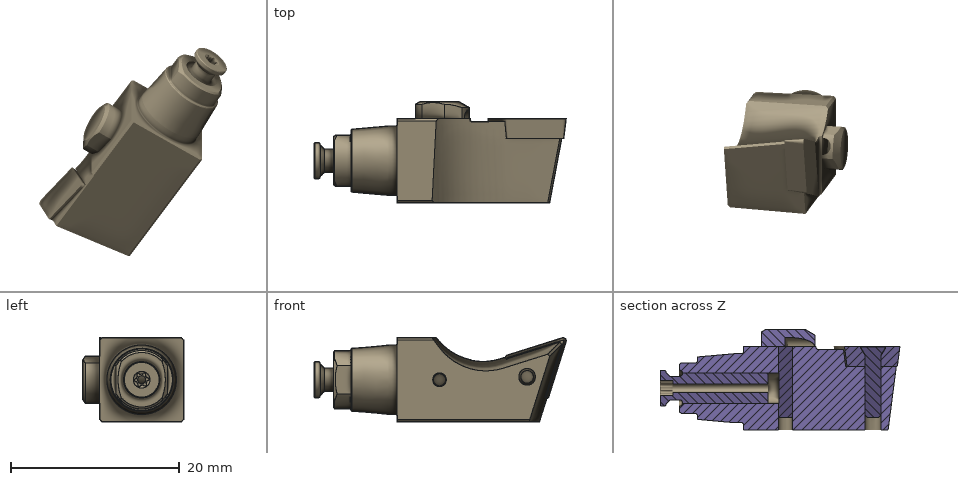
import cadquery as cq
import math


BLOCK_SIZE = 10.0
HALF = BLOCK_SIZE / 2
EDGE_CHAMFER = 0.3
RAKE_Y = HALF
STOCK_LENGTH = 22.42
REACH = 23.92
SELECT_MARGIN = 0.03

CLEARANCE = 7.0
POINT_ANGLE = 55.0
INSCRIBED = 6.35
INSERT_THICKNESS = 2.35
POCKET_GAP = 0.12
NOSE_RADIUS = 0.4
TIP_X = 20.05
TIP_Z = HALF
HALF_POINT = math.radians(POINT_ANGLE / 2)
LONG_HALF = INSCRIBED / 2 / math.sin(HALF_POINT)
SHORT_HALF = INSCRIBED / 2 / math.cos(HALF_POINT)
DIAGONAL_ANGLE = 45.0
NOSE_OFFSET = (LONG_HALF - NOSE_RADIUS / math.sin(HALF_POINT)) * math.cos(math.radians(DIAGONAL_ANGLE))
INSERT_X = TIP_X - NOSE_RADIUS - NOSE_OFFSET
INSERT_Z = TIP_Z - NOSE_RADIUS - NOSE_OFFSET

INSERT_OVERHANG = 0.12
FLANK_DISTANCE = INSCRIBED / 2 - INSERT_OVERHANG
SLOPE_ANGLE = DIAGONAL_ANGLE - POINT_ANGLE / 2
NOSE_FLAT_DEPTH = 0.33
NOSE_FLAT_DISTANCE = FLANK_DISTANCE / math.sin(HALF_POINT) - NOSE_FLAT_DEPTH
NOSE_FLAT_TILT = math.degrees(math.atan(math.tan(math.radians(CLEARANCE)) / math.sin(HALF_POINT)))
GULLET_RADIUS = 6.88
GULLET_SWEEP = 70.5
GULLET_START = -2.4
RELIEF_X = 8.67
RELIEF_DEPTH = 0.35
RELIEF_ROUND = 0.18

SHANK_FILLET = 0.15
TAPER_END_X = -1.0
TAPER_BASE_RADIUS = 4.13
TAPER_FRONT_X = -5.47
TAPER_FRONT_RADIUS = 3.75
TAPER_FRONT_CHAMFER = 0.1
SPIGOT_FRONT_X = -7.55
SPIGOT_RADIUS = 3.47
SPIGOT_CHAMFER_LENGTH = 0.15
SPIGOT_CHAMFER_DEPTH = 0.25
SPIGOT_ACROSS_FLATS = 6.07
FLAT_BEVEL_RADIUS = 6.13
FLAT_BEVEL_OFFSET = 3.32
FLAT_BEVEL_ANGLE = 45.0
MOUTH_GROOVE_RADIUS = 0.35

STUD_FRONT_X = -9.85
STUD_END_X = 3.0
STUD_HEAD_RADIUS = 2.15
STUD_NECK_RADIUS = 1.4
STUD_RIM_CHAMFER = 0.1
STUD_NECK_START_X = -8.65
STUD_SHANK_RADIUS = STUD_NECK_RADIUS + MOUTH_GROOVE_RADIUS
STUD_RIM_ROUND = 0.27
STUD_NECK_CONE = STUD_HEAD_RADIUS - STUD_NECK_RADIUS - STUD_RIM_ROUND
STUD_BORE_RADIUS = 0.48
SOCKET_CORE_RADIUS = 0.65
SOCKET_LOBE_RADIUS = 0.18
SOCKET_LOBE_OFFSET = 0.7
SOCKET_LOBES = 6
SOCKET_TURN = 5.0
SOCKET_DEPTH = 1.5
SOCKET_SINK_RADIUS = 1.0
SOCKET_SINK_DEPTH = 0.12

PIN_X = 5.02
PIN_RADIUS = 0.8
PIN_CHAMFER = 0.1
PIN_RECESS = 1.5

SCREW_RADIUS = 1.0
SCREW_END_CHAMFER = 0.25
SCREW_RECESS = 1.5
SCREW_HEAD_RADIUS = 1.5
SCREW_HEAD_LENGTH = 0.9
SCREW_HEAD_DROP = 0.15

NOZZLE_HEIGHT = 2.0
NOZZLE_RADIUS = 2.87
NOZZLE_HALF_FLATS = 2.5
NOZZLE_SPOUT_RADIUS = 3.55
NOZZLE_SPOUT_TAPER = 30.0
NOZZLE_TOP_RADIUS = 2.33
NOZZLE_TOP_ANGLE = 30.0
NOZZLE_CHANNEL_RADIUS = 1.02


def revolve_about_x(profile):
    """Solid of revolution from a closed XY profile whose Y is the radius."""
    return profile.revolve(360, (0, 0, 0), (1, 0, 0))


def x_cylinder(radius, start, end):
    return cq.Workplane("YZ").workplane(offset=start).circle(radius).extrude(end - start)


def y_cylinder(x, z, radius, start, end):
    plane = cq.Plane(origin=(x, start, z), xDir=(1, 0, 0), normal=(0, 1, 0))
    return cq.Workplane(plane).circle(radius).extrude(end - start)


def edges_across(x, radius):
    """Selects edges that lie in the plane at x, within a radius of the shank axis."""
    reach = radius + SELECT_MARGIN
    return cq.selectors.BoxSelector(
        (x - SELECT_MARGIN, -reach, -reach),
        (x + SELECT_MARGIN, reach, reach),
        boundingbox=True,
    )


def flank_plane(outward_angle, distance, tilt):
    """Plane whose local y points out of a flank; its normal runs from the rake side along the flank."""
    angle = math.radians(outward_angle)
    lean = math.radians(tilt)
    out_x = math.cos(angle)
    out_z = math.sin(angle)
    return cq.Plane(
        origin=(INSERT_X + distance * out_x, RAKE_Y, INSERT_Z + distance * out_z),
        xDir=(out_z, 0, -out_x),
        normal=(-out_x * math.sin(lean), -math.cos(lean), -out_z * math.sin(lean)),
    )


def flat_flank_cutter(outward_angle, distance, tilt):
    plane = flank_plane(outward_angle, distance, tilt)
    return (
        cq.Workplane(plane)
        .rect(2 * REACH, REACH)
        .extrude(REACH, both=True)
        .translate(plane.yDir * (REACH / 2))
    )


def gullet_cutter():
    """Straight slope behind the insert, running into a round gullet."""
    plane = flank_plane(90 + SLOPE_ANGLE, FLANK_DISTANCE, CLEARANCE)
    sweep = math.radians(GULLET_SWEEP)
    arc_end_u = GULLET_START - GULLET_RADIUS * math.sin(sweep)
    arc_end_v = GULLET_RADIUS * (1 - math.cos(sweep))
    exit_u = arc_end_u - (REACH - arc_end_v) / math.tan(sweep)
    return (
        cq.Workplane(plane)
        .moveTo(REACH, 0)
        .lineTo(GULLET_START, 0)
        .radiusArc((arc_end_u, arc_end_v), GULLET_RADIUS)
        .lineTo(exit_u, REACH)
        .lineTo(REACH, REACH)
        .close()
        .extrude(REACH, both=True)
    )


def make_block():
    block = (
        cq.Workplane("XY")
        .box(STOCK_LENGTH, BLOCK_SIZE, BLOCK_SIZE, centered=(False, True, True))
        .edges("|X")
        .chamfer(EDGE_CHAMFER)
    )
    relief = (
        cq.Workplane("XY")
        .box(REACH, RELIEF_DEPTH, BLOCK_SIZE, centered=(False, False, True))
        .edges("<X and <Y")
        .fillet(RELIEF_ROUND)
        .translate((RELIEF_X, RAKE_Y - RELIEF_DEPTH, 0))
    )
    block = block.cut(relief)
    block = block.cut(gullet_cutter())
    block = block.cut(flat_flank_cutter(-SLOPE_ANGLE, FLANK_DISTANCE, CLEARANCE))
    return block.cut(flat_flank_cutter(DIAGONAL_ANGLE, NOSE_FLAT_DISTANCE, NOSE_FLAT_TILT))


def flat_bevel_cone():
    length = TAPER_FRONT_X - SPIGOT_FRONT_X
    front = cq.Workplane("YZ").workplane(offset=SPIGOT_FRONT_X)
    return front.circle(FLAT_BEVEL_RADIUS).extrude(length, taper=-FLAT_BEVEL_ANGLE)


def make_shank():
    spigot = revolve_about_x(
        cq.Workplane("XY")
        .moveTo(SPIGOT_FRONT_X, 0)
        .lineTo(SPIGOT_FRONT_X, SPIGOT_RADIUS - SPIGOT_CHAMFER_DEPTH)
        .lineTo(SPIGOT_FRONT_X + SPIGOT_CHAMFER_LENGTH, SPIGOT_RADIUS)
        .lineTo(TAPER_FRONT_X, SPIGOT_RADIUS)
        .lineTo(TAPER_FRONT_X, 0)
        .close()
    )
    flats = cq.Workplane("XY").box(REACH, SPIGOT_ACROSS_FLATS, BLOCK_SIZE)
    taper = revolve_about_x(
        cq.Workplane("XY")
        .moveTo(TAPER_FRONT_X, 0)
        .lineTo(TAPER_FRONT_X, TAPER_FRONT_RADIUS - TAPER_FRONT_CHAMFER)
        .lineTo(TAPER_FRONT_X + TAPER_FRONT_CHAMFER, TAPER_FRONT_RADIUS)
        .lineTo(TAPER_END_X, TAPER_BASE_RADIUS)
        .lineTo(0, TAPER_BASE_RADIUS)
        .lineTo(0, 0)
        .close()
    )
    spigot = spigot.intersect(flats)
    for side in (-1, 1):
        spigot = spigot.intersect(flat_bevel_cone().translate((0, side * FLAT_BEVEL_OFFSET, 0)))
    shank = taper.union(spigot)
    return shank.edges(edges_across(TAPER_FRONT_X, SPIGOT_RADIUS)).fillet(SHANK_FILLET)


def make_mouth_groove():
    return revolve_about_x(
        cq.Workplane("XY")
        .pushPoints([(SPIGOT_FRONT_X, STUD_SHANK_RADIUS)])
        .circle(MOUTH_GROOVE_RADIUS)
    )


def make_pocket():
    pocket = make_insert_blank()
    slope = math.radians(SLOPE_ANGLE)
    gap = pocket.translate((-POCKET_GAP * math.cos(slope), 0, -POCKET_GAP * math.sin(slope)))
    return pocket.union(gap)


def make_housing():
    housing = make_block().union(make_shank())
    housing = housing.edges(edges_across(0, TAPER_BASE_RADIUS)).fillet(SHANK_FILLET)
    return (
        housing.cut(make_mouth_groove())
        .cut(x_cylinder(STUD_SHANK_RADIUS, SPIGOT_FRONT_X, PIN_X))
        .cut(y_cylinder(PIN_X, 0, PIN_RADIUS, -HALF, RAKE_Y))
        .cut(y_cylinder(INSERT_X, INSERT_Z, SCREW_RADIUS, -HALF, RAKE_Y))
        .cut(make_pocket())
    )


def make_stud():
    body = revolve_about_x(
        cq.Workplane("XY")
        .moveTo(STUD_FRONT_X, 0)
        .lineTo(STUD_FRONT_X, STUD_HEAD_RADIUS - STUD_RIM_CHAMFER)
        .lineTo(STUD_FRONT_X + STUD_RIM_CHAMFER, STUD_HEAD_RADIUS)
        .lineTo(STUD_NECK_START_X - STUD_NECK_CONE - STUD_RIM_ROUND, STUD_HEAD_RADIUS)
        .radiusArc(
            (STUD_NECK_START_X - STUD_NECK_CONE, STUD_HEAD_RADIUS - STUD_RIM_ROUND), STUD_RIM_ROUND
        )
        .lineTo(STUD_NECK_START_X, STUD_NECK_RADIUS)
        .lineTo(SPIGOT_FRONT_X, STUD_NECK_RADIUS)
        .radiusArc((SPIGOT_FRONT_X + MOUTH_GROOVE_RADIUS, STUD_SHANK_RADIUS), -MOUTH_GROOVE_RADIUS)
        .lineTo(STUD_END_X, STUD_SHANK_RADIUS)
        .lineTo(STUD_END_X, 0)
        .close()
    )
    socket_end = STUD_FRONT_X + SOCKET_DEPTH
    socket = x_cylinder(SOCKET_CORE_RADIUS, STUD_FRONT_X, socket_end)
    for i in range(SOCKET_LOBES):
        angle = math.radians(SOCKET_TURN + i * 360 / SOCKET_LOBES)
        lobe = x_cylinder(SOCKET_LOBE_RADIUS, STUD_FRONT_X, socket_end)
        lobe_y = -SOCKET_LOBE_OFFSET * math.cos(angle)
        lobe_z = SOCKET_LOBE_OFFSET * math.sin(angle)
        socket = socket.union(lobe.translate((0, lobe_y, lobe_z)))
    sink = revolve_about_x(
        cq.Workplane("XY")
        .moveTo(STUD_FRONT_X, 0)
        .lineTo(STUD_FRONT_X, SOCKET_SINK_RADIUS)
        .lineTo(STUD_FRONT_X + SOCKET_SINK_DEPTH, SOCKET_CORE_RADIUS)
        .lineTo(STUD_FRONT_X + SOCKET_SINK_DEPTH, 0)
        .close()
    )
    bore = x_cylinder(STUD_BORE_RADIUS, STUD_FRONT_X, STUD_END_X)
    return body.cut(socket).cut(sink).cut(bore)


def make_insert_blank(corner_radius=0):
    """Rhombic insert without its screw hole; with sharp corners it is the shape of the pocket."""
    plane = cq.Plane(origin=(INSERT_X, RAKE_Y, INSERT_Z), xDir=(1, 0, 1), normal=(0, -1, 0))
    corners = [(LONG_HALF, 0), (0, SHORT_HALF), (-LONG_HALF, 0), (0, -SHORT_HALF)]
    outline = cq.Sketch().polygon(corners + corners[:1])
    if corner_radius > 0:
        outline = outline.vertices().fillet(corner_radius)
    return cq.Workplane(plane).placeSketch(outline).extrude(INSERT_THICKNESS, taper=CLEARANCE)


def make_insert_screw():
    plane = cq.Plane(origin=(INSERT_X, 0, INSERT_Z), xDir=(1, 0, 0), normal=(0, 0, 1))
    end_y = -HALF + SCREW_RECESS
    head_y = RAKE_Y - SCREW_HEAD_DROP
    profile = [
        (0, end_y),
        (SCREW_RADIUS - SCREW_END_CHAMFER, end_y),
        (SCREW_RADIUS, end_y + SCREW_END_CHAMFER),
        (SCREW_RADIUS, head_y - SCREW_HEAD_LENGTH),
        (SCREW_HEAD_RADIUS, head_y),
        (0, head_y),
    ]
    return cq.Workplane(plane).polyline(profile).close().revolve(360, (0, 0, 0), (0, 1, 0))


def make_pin():
    pin = y_cylinder(PIN_X, 0, PIN_RADIUS, -HALF + PIN_RECESS, RAKE_Y)
    return pin.faces("<Y").chamfer(PIN_CHAMFER)


def make_nozzle():
    """Round head with two wrench flats and a wedge-shaped spout aimed along the slope."""
    slope = math.radians(SLOPE_ANGLE)
    plane = cq.Plane(
        origin=(PIN_X, RAKE_Y, 0), xDir=(math.cos(slope), 0, math.sin(slope)), normal=(0, 1, 0)
    )
    flat_end = math.sqrt(NOZZLE_RADIUS**2 - NOZZLE_HALF_FLATS**2)
    spout_tip = flat_end + NOZZLE_HALF_FLATS / math.tan(math.radians(NOZZLE_SPOUT_TAPER))
    spout = (
        cq.Workplane(plane)
        .polyline([
            (0, -NOZZLE_HALF_FLATS),
            (flat_end, -NOZZLE_HALF_FLATS),
            (spout_tip, 0),
            (flat_end, NOZZLE_HALF_FLATS),
            (0, NOZZLE_HALF_FLATS),
        ])
        .close()
        .extrude(NOZZLE_HEIGHT)
        .intersect(cq.Workplane(plane).circle(NOZZLE_SPOUT_RADIUS).extrude(NOZZLE_HEIGHT))
    )
    head = (
        cq.Workplane(plane)
        .circle(NOZZLE_RADIUS)
        .extrude(NOZZLE_HEIGHT)
        .intersect(cq.Workplane(plane).rect(REACH, 2 * NOZZLE_HALF_FLATS).extrude(NOZZLE_HEIGHT))
    )
    cone_base = NOZZLE_TOP_RADIUS + NOZZLE_HEIGHT / math.tan(math.radians(NOZZLE_TOP_ANGLE))
    top_cone = (
        cq.Workplane(plane).circle(cone_base).extrude(NOZZLE_HEIGHT, taper=90 - NOZZLE_TOP_ANGLE)
    )
    channel_plane = cq.Plane(origin=plane.origin, xDir=(0, 1, 0), normal=plane.xDir)
    channel = cq.Workplane(channel_plane).circle(NOZZLE_CHANNEL_RADIUS).extrude(REACH)
    return head.union(spout).intersect(top_cone).cut(channel)


housing = make_housing()
stud = make_stud()
pin = make_pin()
nozzle = make_nozzle()
insert_screw = make_insert_screw()
insert = make_insert_blank(NOSE_RADIUS).cut(insert_screw)

result = cq.Compound.makeCompound(
    [housing.val(), stud.val(), pin.val(), nozzle.val(), insert.val(), insert_screw.val()]
)